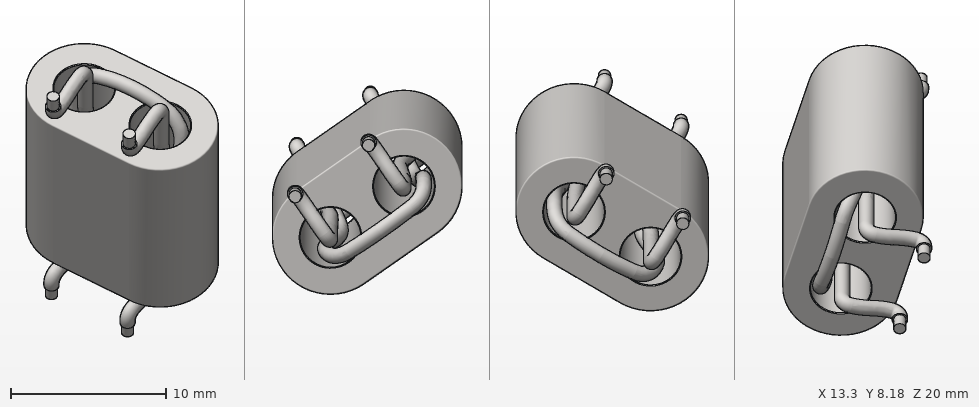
import cadquery as cq
import math

core_height = 14.0
core_depth = 7.5
hole_spacing = 5.8
hole_diameter = 3.92
edge_break = 0.1
hole_edge_break = 0.05

conductor_diameter = 0.8
sleeve_diameter = 1.0
tip_height = 10.0
sleeve_end_height = 9.0

lead_x = hole_spacing / 2
first_bend_radius = 0.6
last_bend_radius = 0.55
shoulder_height = 8.65
sag_height = 8.18
lead_reach = 3.85
loop_start_height = 5.4

arch_apex_height = 7.65
arch_setback = 1.25
arch_radius = 7.5
arch_half_span = 2.4

windings = [
    {
        "lead_direction": -1,
        "run_y": -0.08,
        "crossing": (3.04, -0.15, 1.0),
        "bulge": (4.15, 0.5, 4.7),
    },
    {
        "lead_direction": 1,
        "run_y": 0.12,
        "crossing": (2.95, 1.08, -1.6),
        "bulge": (3.84, 0.75, 5.2),
    },
]


def make_core():
    body = (
        cq.Workplane("XY")
        .slot2D(hole_spacing + core_depth, core_depth)
        .extrude(core_height / 2, both=True)
        .faces("<Z or >Z")
        .edges()
        .fillet(edge_break)
    )
    holes = (
        cq.Workplane("XY")
        .pushPoints([(-lead_x, 0), (lead_x, 0)])
        .circle(hole_diameter / 2)
        .extrude(core_height / 2, both=True)
    )
    rims = cq.Workplane("XY")
    for x in (-lead_x, lead_x):
        for end in (-1, 1):
            rim = cq.Solid.makeCone(
                hole_diameter / 2 + hole_edge_break,
                hole_diameter / 2,
                hole_edge_break,
                cq.Vector(x, 0, end * core_height / 2),
                cq.Vector(0, 0, -end),
            )
            rims = rims.add(rim)
    return body.cut(holes).cut(rims.combine())


def winding_path(winding, end_height):
    """Centre line of one winding, with both tips at the given height."""
    direction = winding["lead_direction"]

    def place(x, setback, height):
        """Point on the left half; height is positive toward the leads."""
        return cq.Vector(-x, winding["run_y"] + setback, direction * height)

    def lead_point(setback, height):
        return place(lead_x, setback, height)

    def toward_arch(point):
        x, setback, height = point
        return place(x, setback, -height)

    def arch_point(angle):
        """Point on the arch at an angle from its apex."""
        drop = arch_radius * (1 - math.cos(angle))
        x = arch_radius * math.sin(angle)
        return toward_arch((x, arch_setback, arch_apex_height - drop))

    up = cq.Vector(0, 0, direction)
    backward = cq.Vector(0, 1, 0)
    first_inset = first_bend_radius * (1 - math.sqrt(0.5))
    last_inset = last_bend_radius * (1 - math.sqrt(0.5))

    tip = lead_point(-lead_reach, end_height)
    last_bend_end = lead_point(-lead_reach, sag_height + last_bend_radius)
    last_bend_middle = lead_point(-lead_reach + last_inset, sag_height + last_inset)
    last_bend_start = lead_point(-lead_reach + last_bend_radius, sag_height)
    first_bend_end = lead_point(-first_bend_radius, shoulder_height)
    first_bend_middle = lead_point(-first_inset, shoulder_height - first_inset)
    first_bend_start = lead_point(0, shoulder_height - first_bend_radius)
    loop_start = lead_point(0, loop_start_height)
    half_angle = math.asin(arch_half_span / arch_radius)
    arch_start = arch_point(half_angle)
    arch_start_tangent = cq.Vector(math.cos(half_angle), 0, -direction * math.sin(half_angle))
    loop_points = [
        loop_start,
        toward_arch(winding["crossing"]),
        toward_arch(winding["bulge"]),
        arch_start,
    ]

    left_half = [
        cq.Edge.makeLine(tip, last_bend_end),
        cq.Edge.makeThreePointArc(last_bend_end, last_bend_middle, last_bend_start),
        cq.Edge.makeSpline([last_bend_start, first_bend_end], tangents=[backward, backward]),
        cq.Edge.makeThreePointArc(first_bend_end, first_bend_middle, first_bend_start),
        cq.Edge.makeLine(first_bend_start, loop_start),
        cq.Edge.makeSpline(loop_points, tangents=[-up, arch_start_tangent]),
        cq.Edge.makeThreePointArc(arch_start, arch_point(half_angle / 2), arch_point(0)),
    ]
    right_half = [edge.mirror("YZ") for edge in reversed(left_half)]
    return cq.Wire.assembleEdges(left_half + right_half), tip


def circle_at(tip, diameter):
    return cq.Wire.makeCircle(diameter / 2, tip, cq.Vector(0, 0, 1))


def make_conductor(winding):
    path, tip = winding_path(winding, tip_height)
    return cq.Solid.sweep(circle_at(tip, conductor_diameter), [], path)


def make_sleeve(winding):
    path, tip = winding_path(winding, sleeve_end_height)
    bore = circle_at(tip, conductor_diameter)
    return cq.Solid.sweep(circle_at(tip, sleeve_diameter), [bore], path)


core = make_core()
conductors = [make_conductor(winding) for winding in windings]
sleeves = [make_sleeve(winding) for winding in windings]

result = cq.Compound.makeCompound([core.val(), *conductors, *sleeves])